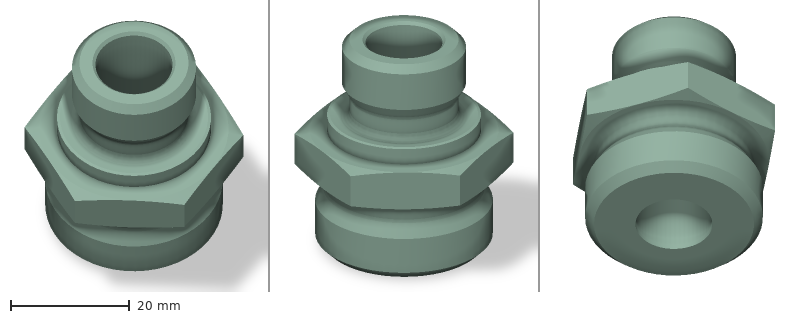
import cadquery as cq
import math

TOTAL_HEIGHT = 38.0
HEX_BOTTOM = 14.0
HEX_TOP = 21.0
COLLAR_TOP = 24.0

HEX_SIDES = 6
HEX_ACROSS_FLATS = 32.0
HEX_FACE_DIAMETER = 31.9
HEX_CHAMFER_ANGLE = 15.0

LOWER_THREAD_DIAMETER = 30.0
LOWER_NECK_DIAMETER = 27.0
LOWER_THREAD_END = 7.9

UPPER_THREAD_DIAMETER = 20.95
UPPER_NECK_DIAMETER = 18.4
UPPER_THREAD_START = 30.0

RELIEF_ANGLE = 30.0
RELIEF_RADIUS = 1.2

COLLAR_DIAMETER = 26.0
SEALING_EDGE_DIAMETER = 25.0
SEALING_BEVEL_ANGLE = 15.0
SEALING_DISH_ANGLE = 8.0

BORE_DIAMETER = 13.0
BORE_CHAMFER = 0.5


def rise(run, angle):
    """Height gained over a run at the given angle in degrees."""
    return run * math.tan(math.radians(angle))


def revolve_profile(points):
    """Solid of revolution about Z from (radius, height) points."""
    return cq.Workplane("XZ").polyline(points).close().revolve(360, (0, 0), (0, 1))


def round_circles(solid, radius, circles):
    """Round the circular edges given as (circle radius, height)."""
    for circle_radius, height in circles:
        margin = 0.01
        edge = cq.selectors.BoxSelector(
            (-circle_radius - margin, -circle_radius - margin, height - margin),
            (circle_radius + margin, circle_radius + margin, height + margin),
            boundingbox=True,
        )
        solid = solid.edges(edge).fillet(radius)
    return solid


def make_hexagon():
    """Hexagon with its corners chamfered at both ends."""
    half_side_angle = 180 / HEX_SIDES
    corner_diameter = HEX_ACROSS_FLATS / math.cos(math.radians(half_side_angle))
    prism = (
        cq.Workplane("XY")
        .workplane(offset=HEX_BOTTOM)
        .polygon(HEX_SIDES, corner_diameter)
        .extrude(HEX_TOP - HEX_BOTTOM)
        .rotate((0, 0, 0), (0, 0, 1), half_side_angle)
    )
    clearance = 1.0
    face_radius = HEX_FACE_DIAMETER / 2
    envelope_radius = corner_diameter / 2 + clearance
    chamfer_height = rise(envelope_radius - face_radius, HEX_CHAMFER_ANGLE)
    envelope = revolve_profile([
        (0, HEX_BOTTOM),
        (face_radius, HEX_BOTTOM),
        (envelope_radius, HEX_BOTTOM + chamfer_height),
        (envelope_radius, HEX_TOP - chamfer_height),
        (face_radius, HEX_TOP),
        (0, HEX_TOP),
    ])
    return prism.intersect(envelope)


def make_lower_end():
    """Lower thread blank, relief neck and a disc inside the hexagon."""
    thread_radius = LOWER_THREAD_DIAMETER / 2
    neck_radius = LOWER_NECK_DIAMETER / 2
    chamfer = thread_radius - neck_radius
    relief_end = LOWER_THREAD_END + rise(chamfer, 90 - RELIEF_ANGLE)
    disc_radius = HEX_FACE_DIAMETER / 2
    blank = revolve_profile([
        (0, 0),
        (neck_radius, 0),
        (thread_radius, chamfer),
        (thread_radius, LOWER_THREAD_END),
        (neck_radius, relief_end),
        (neck_radius, HEX_BOTTOM),
        (disc_radius, HEX_BOTTOM),
        (disc_radius, HEX_TOP),
        (0, HEX_TOP),
    ])
    return round_circles(blank, RELIEF_RADIUS, [(neck_radius, relief_end), (neck_radius, HEX_BOTTOM)])


def make_upper_end():
    """Collar with sealing edge, relief neck and upper thread blank."""
    thread_radius = UPPER_THREAD_DIAMETER / 2
    neck_radius = UPPER_NECK_DIAMETER / 2
    collar_radius = COLLAR_DIAMETER / 2
    edge_radius = SEALING_EDGE_DIAMETER / 2
    chamfer = thread_radius - neck_radius
    relief_end = UPPER_THREAD_START - rise(chamfer, 90 - RELIEF_ANGLE)
    bevel_start = COLLAR_TOP - rise(collar_radius - edge_radius, SEALING_BEVEL_ANGLE)
    dish_bottom = COLLAR_TOP - rise(edge_radius - neck_radius, SEALING_DISH_ANGLE)
    blank = revolve_profile([
        (0, HEX_TOP),
        (collar_radius, HEX_TOP),
        (collar_radius, bevel_start),
        (edge_radius, COLLAR_TOP),
        (neck_radius, dish_bottom),
        (neck_radius, relief_end),
        (thread_radius, UPPER_THREAD_START),
        (thread_radius, TOTAL_HEIGHT - chamfer),
        (neck_radius, TOTAL_HEIGHT),
        (0, TOTAL_HEIGHT),
    ])
    return round_circles(blank, RELIEF_RADIUS, [(neck_radius, dish_bottom), (neck_radius, relief_end)])


def make_bore():
    """Through bore, chamfered at the upper end."""
    radius = BORE_DIAMETER / 2
    return revolve_profile([
        (0, 0),
        (radius, 0),
        (radius, TOTAL_HEIGHT - BORE_CHAMFER),
        (radius + BORE_CHAMFER, TOTAL_HEIGHT),
        (0, TOTAL_HEIGHT),
    ])


result = make_lower_end().union(make_hexagon()).union(make_upper_end()).cut(make_bore())